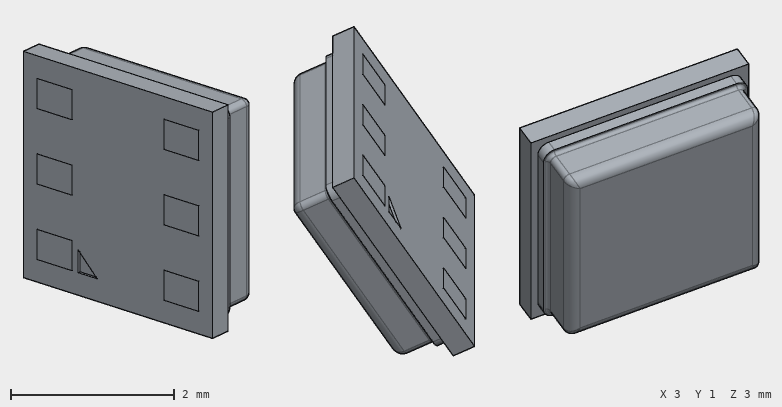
import cadquery as cq

BOARD_SIDE = 3.0
BOARD_THICKNESS = 0.3

LID_HEIGHT = 0.7
FLANGE_MARGIN = 0.095
FLANGE_HEIGHT = 0.15
FLANGE_STEP = 0.07
FLANGE_CORNER_RADIUS = 0.15
COVE_RADIUS = 0.048
CROWN_RADIUS = 0.15

FLANGE_SIDE = BOARD_SIDE - 2 * FLANGE_MARGIN
WALL_SIDE = FLANGE_SIDE - 2 * FLANGE_STEP
WALL_CORNER_RADIUS = FLANGE_CORNER_RADIUS - FLANGE_STEP

PAD_WIDTH = 0.55
PAD_HEIGHT = 0.4
PAD_THICKNESS = 0.03
PAD_PITCH = BOARD_SIDE / 3
PAD_COLUMN_OFFSET = 1.005
PAD_CENTERS = [
    (column * PAD_COLUMN_OFFSET, row * PAD_PITCH)
    for column in (-1, 1)
    for row in (-1, 0, 1)
]

MARK_SIDE = 0.3
MARK_DEPTH = 0.035
MARK_GAP = 0.102
MARK_LEFT = -PAD_COLUMN_OFFSET + PAD_WIDTH / 2 + MARK_GAP
MARK_BOTTOM = -PAD_PITCH - PAD_HEIGHT / 2


def square_block(side, y_start, depth):
    """Square block centred on the Y axis, running from y_start towards +Y."""
    return cq.Workplane("XY").box(side, depth, side).translate((0, y_start + depth / 2, 0))


def make_pad(center):
    """One flush solder pad, centred at the given X and Z."""
    x, z = center
    pad = cq.Workplane("XY").box(PAD_WIDTH, PAD_THICKNESS, PAD_HEIGHT)
    return pad.translate((x, PAD_THICKNESS / 2, z))


def make_mark_recess():
    """Right-angled triangular prism cut into the outer face."""
    return (
        cq.Workplane("XZ")
        .moveTo(MARK_LEFT, MARK_BOTTOM)
        .lineTo(MARK_LEFT + MARK_SIDE, MARK_BOTTOM)
        .lineTo(MARK_LEFT, MARK_BOTTOM + MARK_SIDE)
        .close()
        .extrude(-MARK_DEPTH)
    )


def make_board(pads):
    """Board with a matching recess for every pad and the triangular mark."""
    board = square_block(BOARD_SIDE, 0, BOARD_THICKNESS).cut(make_mark_recess())
    for pad in pads:
        board = board.cut(pad)
    return board


def make_lid():
    """Rounded lid: flange at the foot, cove above it, rounded crown."""
    flange = square_block(FLANGE_SIDE, BOARD_THICKNESS, FLANGE_HEIGHT)
    flange = flange.edges("|Y").fillet(FLANGE_CORNER_RADIUS)

    walls = square_block(WALL_SIDE, BOARD_THICKNESS, LID_HEIGHT)
    walls = walls.faces(">Y").edges().fillet(CROWN_RADIUS)
    walls = walls.edges("|Y").fillet(WALL_CORNER_RADIUS)

    lid = flange.union(walls)
    flange_top = BOARD_THICKNESS + FLANGE_HEIGHT
    reach = WALL_SIDE / 2 + FLANGE_STEP / 2
    half_slab = COVE_RADIUS / 10
    foot = cq.selectors.BoxSelector(
        (-reach, flange_top - half_slab, -reach),
        (reach, flange_top + half_slab, reach),
        boundingbox=True,
    )
    return lid.edges(foot).fillet(COVE_RADIUS)


pads = [make_pad(center) for center in PAD_CENTERS]
board = make_board(pads)
lid = make_lid()

result = cq.Compound.makeCompound([board.val(), lid.val(), *[pad.val() for pad in pads]])